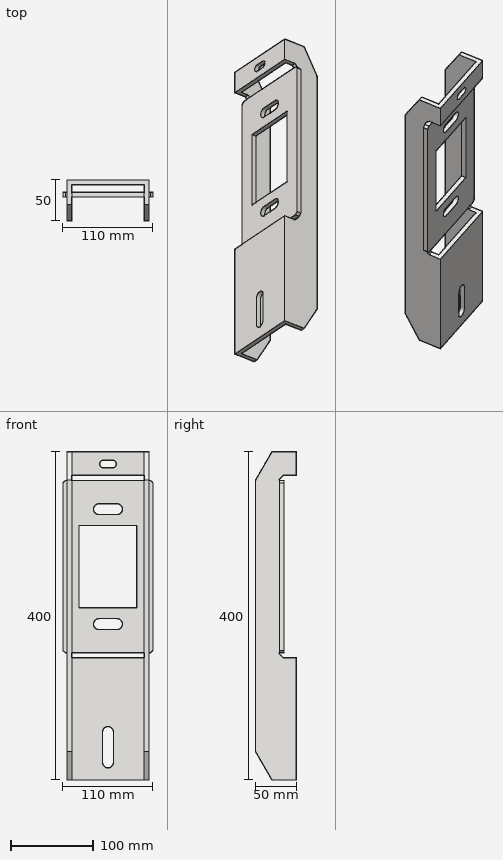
import cadquery as cq
import math

HEIGHT = 400.0
WIDTH = 100.0
DEPTH = 50.0
THICKNESS = 6.0

SLOPE_DEPTH = 20.0
SLOPE_HEIGHT = SLOPE_DEPTH / math.tan(math.radians(30))

TOP_BAND = 29.0
BOTTOM_BAND = 149.0
NOTCH_DEPTH = 21.0
NOTCH_CHAMFER = 5.0
NOTCH_TOP = HEIGHT - TOP_BAND
NOTCH_MID = (NOTCH_TOP + BOTTOM_BAND) / 2

PLATE_WIDTH = 110.0
PLATE_END_GAP = 6.0
PLATE_HEIGHT = NOTCH_TOP - BOTTOM_BAND - 2 * PLATE_END_GAP
PLATE_CHAMFER = 3.0
WINDOW_WIDTH = 70.0
WINDOW_HEIGHT = 100.0
PLATE_SLOT_LENGTH = 35.0
PLATE_SLOT_SPACING = 140.0
SLOT_WIDTH = 13.0

TOP_SLOT_LENGTH = 20.0
TOP_SLOT_WIDTH = 9.0
TOP_SLOT_DROP = 15.0
BOTTOM_SLOT_LENGTH = 50.0
BOTTOM_SLOT_Z = 40.0

BACK_Y = DEPTH
NOTCH_FLOOR_Y = BACK_Y - NOTCH_DEPTH


def slot_cutter(length, width, z, angle=0):
    """Slot centred on X = 0 at height z, cutting through the full depth along Y."""
    return (
        cq.Workplane("XZ")
        .center(0, z)
        .slot2D(length, width, angle)
        .extrude(-DEPTH)
    )


def make_bracket():
    side_profile = [
        (BACK_Y, 0),
        (BACK_Y, BOTTOM_BAND),
        (NOTCH_FLOOR_Y + NOTCH_CHAMFER, BOTTOM_BAND),
        (NOTCH_FLOOR_Y, BOTTOM_BAND + NOTCH_CHAMFER),
        (NOTCH_FLOOR_Y, NOTCH_TOP - NOTCH_CHAMFER),
        (NOTCH_FLOOR_Y + NOTCH_CHAMFER, NOTCH_TOP),
        (BACK_Y, NOTCH_TOP),
        (BACK_Y, HEIGHT),
        (SLOPE_DEPTH, HEIGHT),
        (0, HEIGHT - SLOPE_HEIGHT),
        (0, SLOPE_HEIGHT),
        (SLOPE_DEPTH, 0),
    ]
    body = cq.Workplane("YZ").polyline(side_profile).close().extrude(WIDTH / 2, both=True)

    channel_space = cq.Workplane("XY").box(
        WIDTH - 2 * THICKNESS, DEPTH - THICKNESS, HEIGHT, centered=(True, False, False)
    )
    top_slot = slot_cutter(TOP_SLOT_LENGTH, TOP_SLOT_WIDTH, HEIGHT - TOP_SLOT_DROP)
    bottom_slot = slot_cutter(BOTTOM_SLOT_LENGTH, SLOT_WIDTH, BOTTOM_SLOT_Z, angle=90)
    return body.cut(channel_space).cut(top_slot).cut(bottom_slot)


def make_plate():
    body = (
        cq.Workplane("XZ", origin=(0, NOTCH_FLOOR_Y, NOTCH_MID))
        .rect(PLATE_WIDTH, PLATE_HEIGHT)
        .extrude(-THICKNESS)
        .edges("|Y")
        .chamfer(PLATE_CHAMFER)
    )
    window = (
        cq.Workplane("XZ", origin=(0, 0, NOTCH_MID))
        .rect(WINDOW_WIDTH, WINDOW_HEIGHT)
        .extrude(-DEPTH)
    )
    body = body.cut(window)
    for side in (-1, 1):
        slot_z = NOTCH_MID + side * PLATE_SLOT_SPACING / 2
        body = body.cut(slot_cutter(PLATE_SLOT_LENGTH, SLOT_WIDTH, slot_z))
    return body


bracket = make_bracket()
plate = make_plate()

result = cq.Compound.makeCompound([bracket.val(), plate.val()])